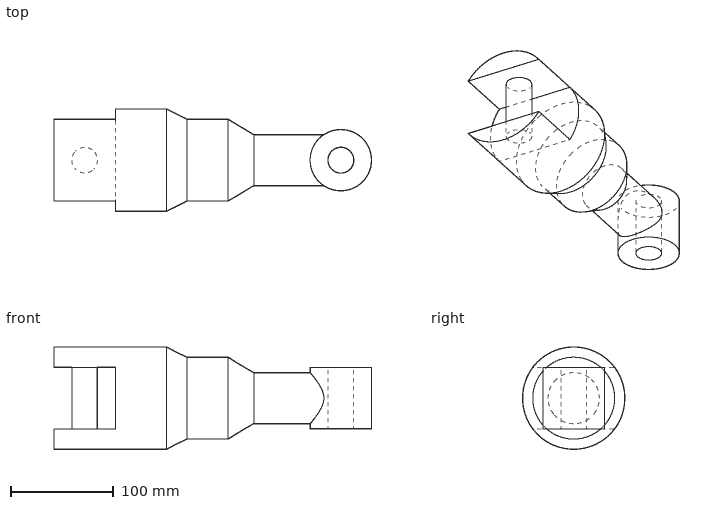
import cadquery as cq

body_radius = 50.0
body_end = 110.0
collar_radius = 40.0
collar_start = 130.0
collar_end = 170.0
rod_radius = 25.0
rod_start = 195.0

slot_depth = 60.0
slot_height = 60.0
pin_diameter = 25.0
pin_center_x = slot_depth / 2

eye_diameter = 60.0
eye_height = 60.0
eye_bore_diameter = 25.0
eye_center_x = 280.0


def vertical_cylinder(center_x, diameter, height):
    """Cylinder along Z, centred on the part axis at the given X."""
    return (
        cq.Workplane("XY", origin=(center_x, 0, -height / 2))
        .circle(diameter / 2)
        .extrude(height)
    )


def make_stepped_body():
    """Revolve the half profile: body, taper, collar, taper, rod."""
    return (
        cq.Workplane("XY")
        .moveTo(0, 0)
        .lineTo(0, body_radius)
        .lineTo(body_end, body_radius)
        .lineTo(collar_start, collar_radius)
        .lineTo(collar_end, collar_radius)
        .lineTo(rod_start, rod_radius)
        .lineTo(eye_center_x, rod_radius)
        .lineTo(eye_center_x, 0)
        .close()
        .revolve(360, (0, 0, 0), (1, 0, 0))
    )


def make_fork_slot():
    """Slot open at the fork end and through the full body width."""
    return cq.Workplane("XY").box(
        slot_depth, 2 * body_radius, slot_height, centered=(False, True, True)
    )


def make_fork():
    """Slotted body with the pin standing between the two prongs."""
    slotted_body = make_stepped_body().cut(make_fork_slot())
    pin = vertical_cylinder(pin_center_x, pin_diameter, slot_height)
    return slotted_body.union(pin)


def add_eye(part):
    """Join the eye to the rod, then bore it through."""
    eye = vertical_cylinder(eye_center_x, eye_diameter, eye_height)
    bore = vertical_cylinder(eye_center_x, eye_bore_diameter, eye_height)
    return part.union(eye).cut(bore)


result = add_eye(make_fork())